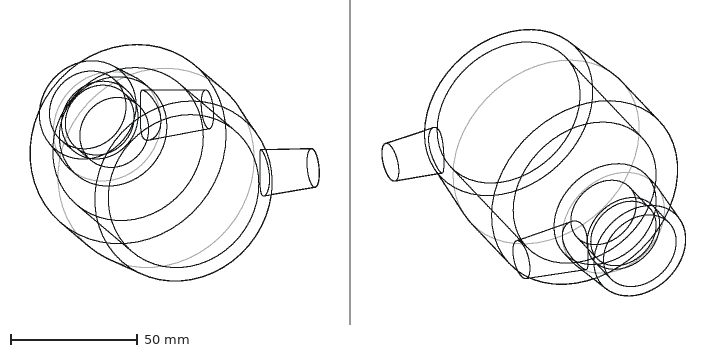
import cadquery as cq
import math

length = 119.0
spigot_end_diameter = 40.5
neck_diameter = 45.0
barrel_diameter = 82.0
barrel_end_diameter = 74.1
neck_start = 24.0
neck_end = 31.5
barrel_start = neck_end + (barrel_diameter - neck_diameter) / 2
barrel_end = 85.0

bore_diameter = 28.8
small_socket_diameter = 32.0
small_socket_depth = 14.9
large_socket_diameter = 63.0
large_socket_start = barrel_start
funnel_start = large_socket_start - (large_socket_diameter - bore_diameter) / 2

stub_tip_diameter = 15.5
small_stub_x = 14.3
small_stub_tip_y = 45.2
small_stub_draft = 5.0
large_stub_x = 104.8
overall_width = 100.0
large_stub_tip_y = overall_width - barrel_diameter / 2
large_stub_draft = 4.0


def revolve_about_x(outline):
    """Full revolution of an (x, radius) outline about the X axis."""
    return cq.Workplane("XY").polyline(outline).close().revolve(360, (0, 0, 0), (1, 0, 0))


def make_body():
    """Solid of revolution with a taper at each end and a conical shoulder."""
    outline = [
        (0, 0),
        (0, spigot_end_diameter / 2),
        (neck_start, neck_diameter / 2),
        (neck_end, neck_diameter / 2),
        (barrel_start, barrel_diameter / 2),
        (barrel_end, barrel_diameter / 2),
        (length, barrel_end_diameter / 2),
        (length, 0),
    ]
    return revolve_about_x(outline)


def make_stub(x, tip_y, draft):
    """Cone from the body axis out to the stub tip, narrowing outward."""
    tip_radius = stub_tip_diameter / 2
    root_radius = tip_radius + tip_y * math.tan(math.radians(draft))
    return cq.Workplane(
        cq.Solid.makeCone(root_radius, tip_radius, tip_y, cq.Vector(x, 0, 0), cq.Vector(0, 1, 0))
    )


def make_cavity():
    """Through passage: small socket, stepped bore, 45 degree funnel and large socket."""
    outline = [
        (0, 0),
        (0, small_socket_diameter / 2),
        (small_socket_depth, small_socket_diameter / 2),
        (small_socket_depth, bore_diameter / 2),
        (funnel_start, bore_diameter / 2),
        (large_socket_start, large_socket_diameter / 2),
        (length, large_socket_diameter / 2),
        (length, 0),
    ]
    return revolve_about_x(outline)


result = (
    make_body()
    .union(make_stub(small_stub_x, small_stub_tip_y, small_stub_draft))
    .union(make_stub(large_stub_x, large_stub_tip_y, large_stub_draft))
    .cut(make_cavity())
)